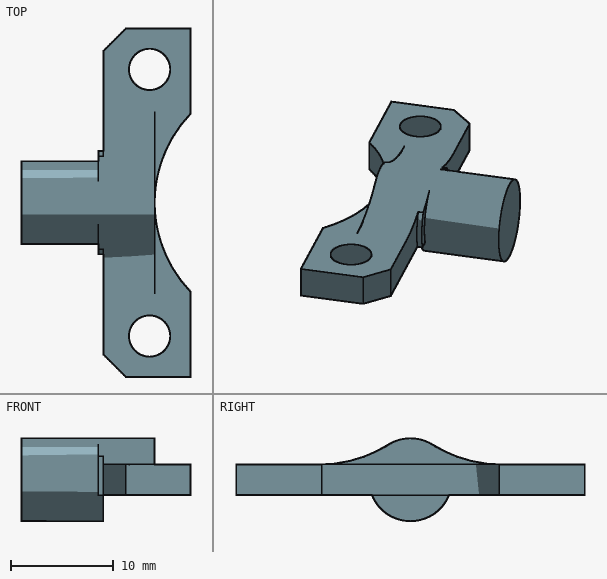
import cadquery as cq
import math

SHAFT_RADIUS = 4.05
SHAFT_LENGTH = 8.0

PLATE_START_X = SHAFT_LENGTH
PLATE_END_X = 16.5
PLATE_WIDTH = 34.0
PLATE_THICKNESS = 3.0
PLATE_TOP_Z = PLATE_THICKNESS / 2
PLATE_BOTTOM_Z = -PLATE_THICKNESS / 2
CORNER_CUT = 2.2

HOLE_DIAMETER = 4.0
HOLE_X = 12.5
HOLE_SPACING = 26.0

SCOOP_RADIUS = 12.5

HUMP_END_X = 13.0
BLEND_RADIUS = 12.5

COLLAR_RADIUS = 5.05
COLLAR_THICKNESS = 0.5
COLLAR_START_X = PLATE_START_X - COLLAR_THICKNESS


def make_shaft():
    return cq.Workplane("YZ").circle(SHAFT_RADIUS).extrude(SHAFT_LENGTH)


def make_plate():
    half_width = PLATE_WIDTH / 2
    plate = (
        cq.Workplane("XY")
        .workplane(offset=PLATE_BOTTOM_Z)
        .moveTo(PLATE_START_X + CORNER_CUT, -half_width)
        .lineTo(PLATE_END_X, -half_width)
        .lineTo(PLATE_END_X, half_width)
        .lineTo(PLATE_START_X + CORNER_CUT, half_width)
        .lineTo(PLATE_START_X, half_width - CORNER_CUT)
        .lineTo(PLATE_START_X, -half_width + CORNER_CUT)
        .close()
        .extrude(PLATE_THICKNESS)
    )
    holes = (
        cq.Workplane("XY")
        .workplane(offset=PLATE_BOTTOM_Z)
        .pushPoints([(HOLE_X, side * HOLE_SPACING / 2) for side in (-1, 1)])
        .circle(HOLE_DIAMETER / 2)
        .extrude(PLATE_THICKNESS)
    )
    scoop = (
        cq.Workplane("XY")
        .workplane(offset=PLATE_BOTTOM_Z)
        .center(HUMP_END_X + SCOOP_RADIUS, 0)
        .circle(SCOOP_RADIUS)
        .extrude(PLATE_THICKNESS)
    )
    return plate.cut(holes).cut(scoop)


def make_hump(start_x, end_x):
    """Shaft crown flanked by two concave arcs tangent to it and to the plate top."""
    blend_center_z = PLATE_TOP_Z + BLEND_RADIUS
    center_distance = SHAFT_RADIUS + BLEND_RADIUS
    blend_center_y = math.sqrt(center_distance**2 - blend_center_z**2)

    crown_y = blend_center_y * SHAFT_RADIUS / center_distance
    crown_z = blend_center_z * SHAFT_RADIUS / center_distance

    half_sweep = math.atan2(blend_center_y, blend_center_z) / 2
    middle_y = blend_center_y - BLEND_RADIUS * math.sin(half_sweep)
    middle_z = blend_center_z - BLEND_RADIUS * math.cos(half_sweep)

    return (
        cq.Workplane("YZ")
        .workplane(offset=start_x)
        .moveTo(-blend_center_y, PLATE_BOTTOM_Z)
        .lineTo(blend_center_y, PLATE_BOTTOM_Z)
        .lineTo(blend_center_y, PLATE_TOP_Z)
        .threePointArc((middle_y, middle_z), (crown_y, crown_z))
        .threePointArc((0, SHAFT_RADIUS), (-crown_y, crown_z))
        .threePointArc((-middle_y, middle_z), (-blend_center_y, PLATE_TOP_Z))
        .close()
        .extrude(end_x - start_x)
    )


def make_collar():
    """Slice of the hump profile trimmed to a disc around the shaft."""
    disc = (
        cq.Workplane("YZ")
        .workplane(offset=COLLAR_START_X)
        .circle(COLLAR_RADIUS)
        .extrude(COLLAR_THICKNESS)
    )
    return make_hump(COLLAR_START_X, PLATE_START_X).intersect(disc)


result = (
    make_plate()
    .union(make_hump(PLATE_START_X, HUMP_END_X))
    .union(make_collar())
    .union(make_shaft())
)